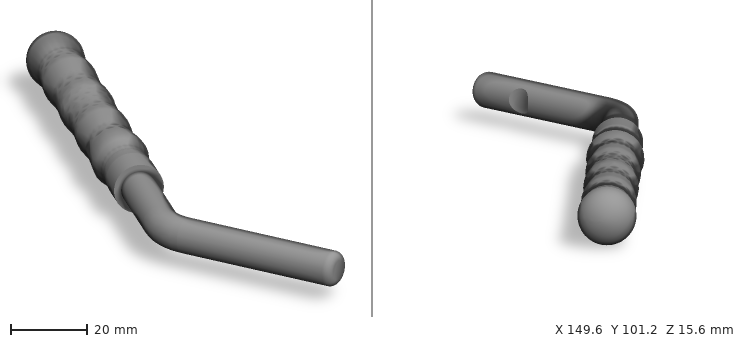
import cadquery as cq
import math

rod_diameter = 9.5
rod_radius = rod_diameter / 2
rod_end_x = 149.5
end_rounding = 2.1
bend_angle = 45.0
bend_radius = 15.0
corner_x = 96.4

notch_x = 130.6
notch_radius = 5.7
notch_depth = 1.3

grip_length = 102.2
collar_radius = 6.7
collar_length = 8.8
neck_length = 4.2
neck_radius = 6.5
rod_depth_in_grip = collar_length + neck_length
ball_radius = 7.8
valley_radius = 6.7
bulge_radius = 7.3
last_bulge_radius = 7.6
first_valley = 15.0
bulge_pitch = 19.1
bulge_count = 4
tip_to_corner = 133.2

slant = math.radians(bend_angle)
axis_direction = cq.Vector(math.cos(slant), -math.sin(slant), 0)
corner = cq.Vector(corner_x, rod_radius, 0)
tip = corner - axis_direction * tip_to_corner
grip_plane = cq.Plane(origin=tip, xDir=axis_direction, normal=(0, 0, 1))


def make_rod():
    tangent_length = bend_radius * math.tan(slant / 2)
    half_bend = slant / 2
    bend_start = corner + cq.Vector(tangent_length, 0, 0)
    bend_centre = bend_start + cq.Vector(0, bend_radius, 0)
    bend_middle = bend_centre + cq.Vector(-math.sin(half_bend), -math.cos(half_bend), 0) * bend_radius
    bend_end = corner - axis_direction * tangent_length
    inner_end = tip + axis_direction * (grip_length - rod_depth_in_grip)
    path = (
        cq.Workplane("XY")
        .moveTo(rod_end_x, rod_radius)
        .lineTo(bend_start.x, bend_start.y)
        .threePointArc((bend_middle.x, bend_middle.y), (bend_end.x, bend_end.y))
        .lineTo(inner_end.x, inner_end.y)
    )
    rod = (
        cq.Workplane("YZ", origin=(rod_end_x, rod_radius, 0))
        .circle(rod_radius)
        .sweep(path)
        .faces(">X")
        .edges()
        .fillet(end_rounding)
    )
    notch_y = rod_diameter - notch_depth + notch_radius
    notch = (
        cq.Workplane("XY")
        .center(notch_x, notch_y)
        .circle(notch_radius)
        .extrude(rod_radius, both=True)
    )
    return rod.cut(notch)


def make_grip():
    collar_start = grip_length - collar_length
    neck_start = collar_start - neck_length
    wave = []
    for index in range(bulge_count):
        valley = first_valley + index * bulge_pitch
        nearest_collar = index == bulge_count - 1
        wave.append((valley, valley_radius))
        wave.append((valley + bulge_pitch / 2, last_bulge_radius if nearest_collar else bulge_radius))
    wave.append((neck_start, neck_radius))
    return (
        cq.Workplane(grip_plane)
        .moveTo(0, 0)
        .threePointArc(
            (ball_radius * (1 - math.cos(slant)), ball_radius * math.sin(slant)),
            (ball_radius, ball_radius),
        )
        .spline(wave, tangents=[(1, 0), (1, 0)], includeCurrent=True)
        .lineTo(collar_start, collar_radius)
        .lineTo(grip_length, collar_radius)
        .lineTo(grip_length, 0)
        .close()
        .revolve(360, (0, 0), (1, 0))
    )


rod = make_rod()
grip = make_grip().cut(rod)
result = cq.Compound.makeCompound([rod.val(), grip.val()])